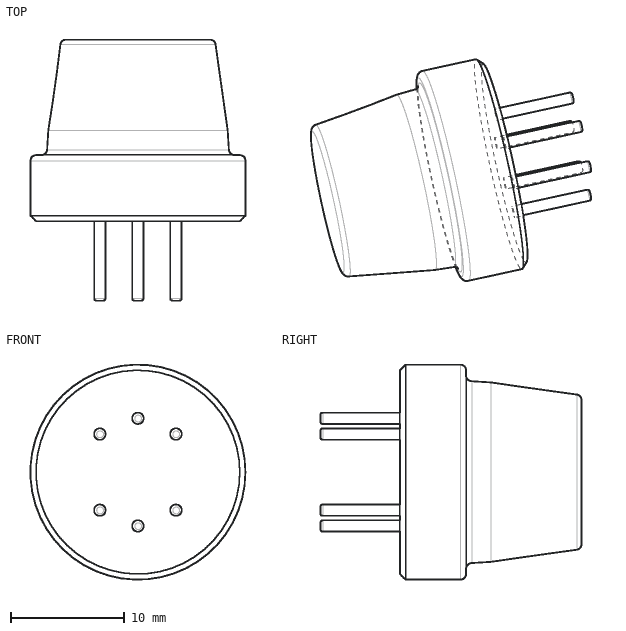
import cadquery as cq
import math

total_length = 23.05
pin_length = 7.0
cap_top = total_length - pin_length

base_radius = 9.5
base_height = 5.85
edge_size = 0.5

collar_radius = 8.07
shoulder_radius = 7.93
shoulder_height = 8.05
cap_top_radius = 6.8
cap_rounding = 0.5

pin_radius = 0.5
pin_tip_rounding = 0.2
pin_circle_radius = 4.75
pin_angles = (45, 90, 135, 225, 270, 315)


def make_body():
    """Revolve the stepped outline, then round its edges."""
    body = (
        cq.Workplane("XY")
        .moveTo(0, 0)
        .lineTo(base_radius - edge_size, 0)
        .lineTo(base_radius, edge_size)
        .lineTo(base_radius, base_height)
        .lineTo(collar_radius, base_height)
        .lineTo(shoulder_radius, shoulder_height)
        .lineTo(cap_top_radius, cap_top)
        .lineTo(0, cap_top)
        .close()
        .revolve(360, (0, 0), (0, 1))
    )
    step_edges = cq.selectors.BoxSelector(
        (-base_radius, base_height - edge_size, -base_radius),
        (base_radius, base_height + edge_size, base_radius),
    )
    body = body.edges("%CIRCLE").edges(step_edges).fillet(edge_size)
    return body.faces(">Y").edges().fillet(cap_rounding)


def make_pin(angle):
    """One pin pointing along -Y, with a rounded tip."""
    x = pin_circle_radius * math.cos(math.radians(angle))
    z = pin_circle_radius * math.sin(math.radians(angle))
    pin = (
        cq.Workplane("XZ", origin=(x, 0, z))
        .circle(pin_radius)
        .extrude(pin_length)
    )
    return pin.faces("<Y").edges().fillet(pin_tip_rounding)


result = make_body()
for pin_angle in pin_angles:
    result = result.union(make_pin(pin_angle))